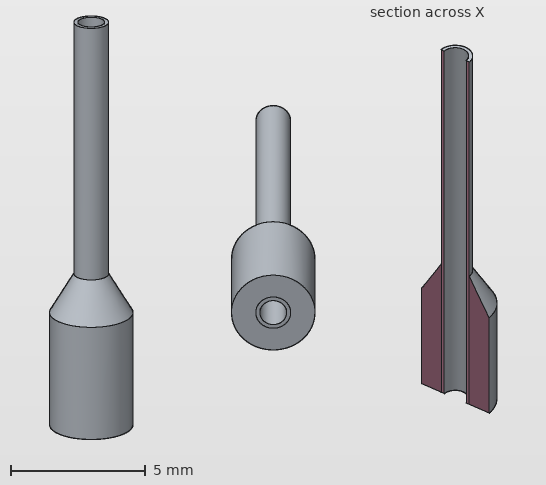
import cadquery as cq

total_height = 16.0
exposed_tube_length = 10.0
skirt_height = 4.46

collar_diameter = 3.1
tube_diameter = 1.3
bore_diameter = 1.0

collar_height = total_height - exposed_tube_length
collar_radius = collar_diameter / 2
tube_radius = tube_diameter / 2


def make_tube():
    """Straight, open-ended tube running the full height of the ferrule."""
    return (
        cq.Workplane("XY")
        .circle(tube_radius)
        .circle(bore_diameter / 2)
        .extrude(total_height)
    )


def make_collar():
    """Sleeve around the tube, tapering at its top down to the tube surface."""
    return (
        cq.Workplane("XZ")
        .moveTo(tube_radius, 0)
        .lineTo(collar_radius, 0)
        .lineTo(collar_radius, skirt_height)
        .lineTo(tube_radius, collar_height)
        .close()
        .revolve(360, (0, 0, 0), (0, 1, 0))
    )


tube = make_tube()
collar = make_collar()

result = cq.Compound.makeCompound([tube.val(), collar.val()])